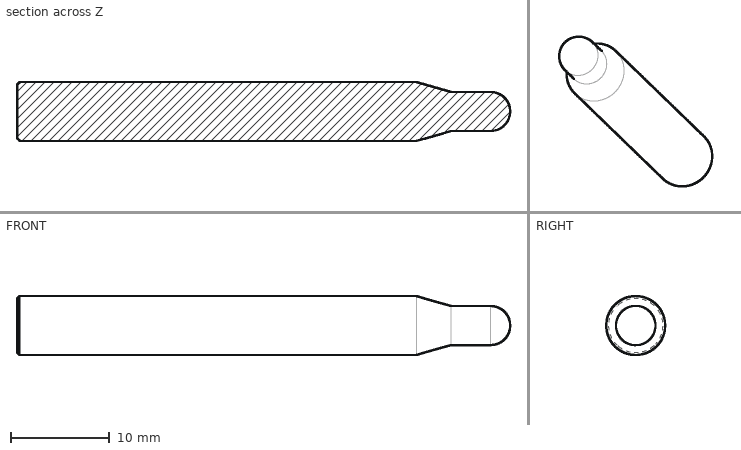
import cadquery as cq

total_length = 50.0
shank_diameter = 6.0
neck_diameter = 4.0
shank_length = 40.5
taper_length = 3.5
end_chamfer = 0.25

shank_radius = shank_diameter / 2
neck_radius = neck_diameter / 2
neck_start = shank_length + taper_length
ball_center = total_length - neck_radius

half_profile = (
    cq.Workplane("XY")
    .moveTo(0, 0)
    .lineTo(0, shank_radius - end_chamfer)
    .lineTo(end_chamfer, shank_radius)
    .lineTo(shank_length, shank_radius)
    .lineTo(neck_start, neck_radius)
    .lineTo(ball_center, neck_radius)
    .radiusArc((total_length, 0), neck_radius)
    .close()
)

result = half_profile.revolve(360, (0, 0, 0), (1, 0, 0))